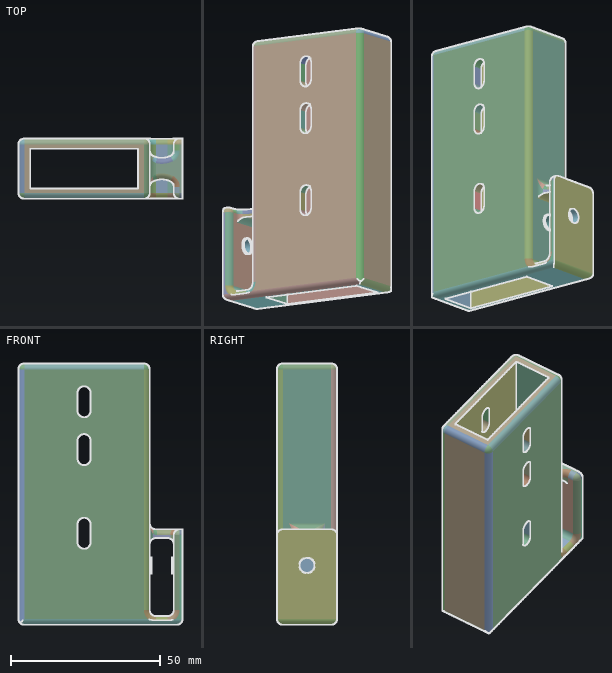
import cadquery as cq
import math

sleeve_length = 44.0
sleeve_depth = 20.2
sleeve_height = 87.5
end_wall = 4.0
side_wall = 3.5
rounding = 2.0

slot_width = 4.3
slot_length = 10.3
slot_heights = (30.65, 58.65, 74.65)

bar = 3.0
window_length = 8.0
loop_height = 32.0
waist_radius = 6.5

bore_diameter = 5.0
ring_diameter = 5.5
ring_height = 0.6
bore_level = 19.9

face_y = sleeve_depth / 2
post_x = sleeve_length + window_length
overall_length = post_x + bar
window_top = loop_height - bar
window_mid_x = sleeve_length + window_length / 2
margin = 0.01
reach = 1.0


def block(x0, x1, y0, y1, z0, z1):
    """Box between two opposite corners."""
    return cq.Workplane("XY").box(x1 - x0, y1 - y0, z1 - z0, centered=False).translate((x0, y0, z0))


def is_rounded(edge):
    """True for the edges rounded along with the broad sides, the sleeve top and the waist rims."""
    box = edge.BoundingBox()
    on_broad_side = box.ymin > face_y - margin or box.ymax < margin - face_y
    on_sleeve_top = box.zmin > sleeve_height - margin
    on_loop_top = box.zmin > loop_height - margin and box.zmax < loop_height + margin
    on_waist_rim = on_loop_top and box.ymin * box.ymax > 0
    beside_sleeve = box.xmax > sleeve_length + margin
    on_post_outside = box.xmin > overall_length - margin
    at_base = box.zmax < bar - margin and box.xmax - box.xmin > margin
    if on_post_outside or at_base:
        return False
    return on_broad_side or on_sleeve_top or (on_waist_rim and beside_sleeve)


def make_blank():
    """Sleeve and loop joined by a concave fillet, running below Z = 0 to be trimmed by the envelope."""
    sleeve = block(0, sleeve_length, -face_y, face_y, -rounding, sleeve_height)
    loop = block(0, overall_length, -face_y, face_y, -rounding, loop_height)
    blank = sleeve.union(loop)
    inner_corner = cq.selectors.NearestToPointSelector((sleeve_length, 0, loop_height))
    return blank.edges(inner_corner).fillet(rounding)


def make_window():
    """Round-cornered opening through the loop along Y."""
    window = block(sleeve_length, post_x, -face_y - reach, face_y + reach, bar, window_top)
    return window.edges("|Y").fillet(rounding)


def make_waist_cutter(side):
    """Recess in the top bar from one broad side: a large arc eased into both walls by small ones."""
    easing_offset = window_length / 2 - rounding
    easing_depth = math.sqrt((waist_radius - rounding) ** 2 - easing_offset**2)
    tangent_angle = math.atan2(easing_depth, easing_offset)
    tangent_offset = waist_radius * math.cos(tangent_angle)
    tangent_depth = waist_radius * math.sin(tangent_angle)
    easing_mid_offset = easing_offset + rounding * math.cos(tangent_angle / 2)
    easing_mid_depth = easing_depth + rounding * math.sin(tangent_angle / 2)

    def point(offset, depth):
        return (window_mid_x + offset, side * (face_y - depth))

    profile = (
        cq.Workplane("XY", origin=(0, 0, window_top - rounding))
        .moveTo(*point(-window_length / 2, -reach))
        .lineTo(*point(-window_length / 2, easing_depth))
        .threePointArc(point(-easing_mid_offset, easing_mid_depth), point(-tangent_offset, tangent_depth))
        .threePointArc(point(0, waist_radius), point(tangent_offset, tangent_depth))
        .threePointArc(point(easing_mid_offset, easing_mid_depth), point(window_length / 2, easing_depth))
        .lineTo(*point(window_length / 2, -reach))
        .close()
    )
    return profile.extrude(2 * rounding + bar + reach)


def make_base_envelope():
    """Box around the whole part whose bottom edges are rounded."""
    envelope = block(0, overall_length, -face_y, face_y, 0, sleeve_height)
    return envelope.faces("<Z").edges().fillet(rounding)


def make_cavity():
    """Rectangular passage through the sleeve along Z."""
    inner_y = face_y - side_wall
    return block(end_wall, sleeve_length - end_wall, -inner_y, inner_y, -reach, sleeve_height + reach)


def make_slot(level):
    """Upright slot cutter through both broad sides, centred at the given height."""
    slot = cq.Workplane("XZ", origin=(sleeve_length / 2, 0, level))
    return slot.slot2D(slot_length, slot_width, 90).extrude(face_y + reach, both=True)


def make_rod(start_x, diameter, length):
    """Cylinder along X on the bore axis; a negative length points toward -X."""
    base = cq.Workplane("YZ", origin=(start_x, 0, bore_level)).circle(diameter / 2)
    return base.extrude(length)


part = make_blank().cut(make_window())
for side in (-1, 1):
    part = part.cut(make_waist_cutter(side))

rounded_edges = [edge for edge in part.edges().vals() if is_rounded(edge)]
part = part.newObject(rounded_edges).fillet(rounding)
part = part.intersect(make_base_envelope())

part = part.cut(make_cavity())
for level in slot_heights:
    part = part.cut(make_slot(level))

part = part.union(make_rod(sleeve_length, ring_diameter, ring_height))
part = part.union(make_rod(post_x, ring_diameter, -ring_height))
bore_start = sleeve_length - end_wall - reach
part = part.cut(make_rod(bore_start, bore_diameter, overall_length + reach - bore_start))
result = part